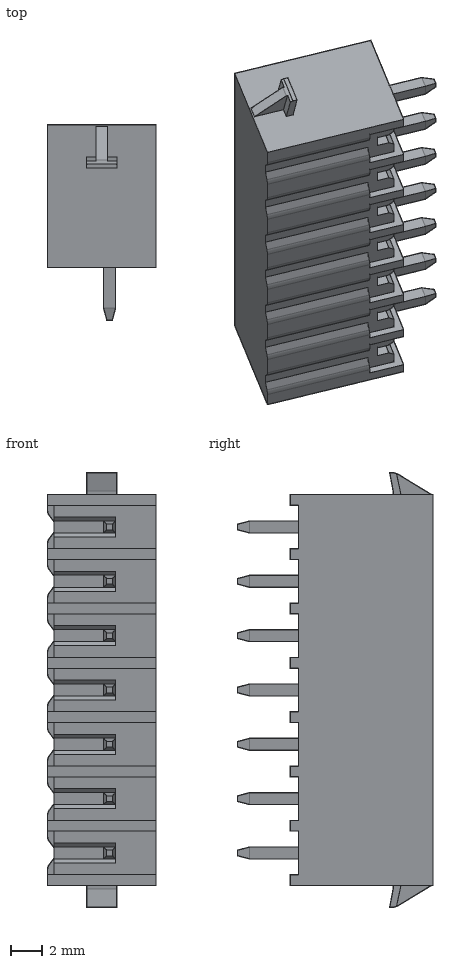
import cadquery as cq
import math


POLE_COUNT = 7
PITCH = 3.5
WALL = 0.7
WIDTH = 7.0
WALL_DEPTH = 9.2
CORE_DEPTH = 8.68
HEIGHT = POLE_COUNT * PITCH + WALL
POLE_OPENING = PITCH - WALL
POLE_LEVELS = [(i - (POLE_COUNT - 1) / 2) * PITCH for i in range(POLE_COUNT)]

GROOVE_DEPTH = 0.42
GROOVE_MOUTH_HALF = 0.9
GROOVE_FLOOR_HALF = 0.35
GROOVE_ROUND = 0.55
NOTCH_START = 6.92

PIN_SIZE = 0.78
PIN_X = 4.0
PIN_END = 12.6
TIP_LENGTH = 0.78
TIP_SIZE = 0.35

SLOT_DEPTH = 1.1
FLARE_DEPTH = 0.35
FLARE_HEIGHT = 0.25
SLOT_FLOOR_DEPTH = CORE_DEPTH - SLOT_DEPTH
SLOT_END_X = PIN_X + PIN_SIZE / 2

LATCH_WIDTH = 1.95
RIB_WIDTH = 0.75
LATCH_HEIGHT = 1.4
LATCH_FOOT = 0.22
CREST_START = 2.52
PLATE_OUTLINE = [
    (2.07, 0),
    (2.35, 1.35),
    (CREST_START, LATCH_HEIGHT),
    (2.8, LATCH_HEIGHT),
    (2.58, LATCH_FOOT),
    (2.58, 0),
]
RIB_OUTLINE = [(0.1, 0), (2.27, 1.32), (CREST_START, LATCH_HEIGHT), (CREST_START, 0)]


def block(x_start, x_end, depth_start, depth_end, height, level=0.0):
    """Box between two X positions and two depths, centred at a level in Z."""
    size = (x_end - x_start, depth_end - depth_start, height)
    corner = (x_start, -depth_end, level - height / 2)
    return cq.Workplane("XY").box(*size, centered=False).translate(corner)


def groove_cutter():
    """Trapezoidal groove whose mouth edges are rounded into the side face."""
    slope = math.atan2(GROOVE_DEPTH, GROOVE_MOUTH_HALF - GROOVE_FLOOR_HALF)
    tangent_length = GROOVE_ROUND * math.tan(slope / 2)
    arc_top = GROOVE_MOUTH_HALF + tangent_length

    def arc_point(angle):
        return (GROOVE_ROUND * (1 - math.cos(angle)), arc_top - GROOVE_ROUND * math.sin(angle))

    mid_x, mid_z = arc_point(slope / 2)
    end_x, end_z = arc_point(slope)
    return (
        cq.Workplane("XZ")
        .moveTo(0, arc_top)
        .threePointArc((mid_x, mid_z), (end_x, end_z))
        .lineTo(GROOVE_DEPTH, GROOVE_FLOOR_HALF)
        .lineTo(GROOVE_DEPTH, -GROOVE_FLOOR_HALF)
        .lineTo(end_x, -end_z)
        .threePointArc((mid_x, -mid_z), (0, -arc_top))
        .close()
        .extrude(CORE_DEPTH)
    )


def slot_cutter():
    """Slot with a flared entry, open to the grooved side and ending at the pin."""
    half = PIN_SIZE / 2
    flared = half + FLARE_HEIGHT
    flare_start = CORE_DEPTH - FLARE_DEPTH
    outline = [
        (-SLOT_FLOOR_DEPTH, half),
        (-flare_start, half),
        (-CORE_DEPTH, flared),
        (-CORE_DEPTH, -flared),
        (-flare_start, -half),
        (-SLOT_FLOOR_DEPTH, -half),
    ]
    return cq.Workplane("YZ").polyline(outline).close().extrude(SLOT_END_X)


def make_pin():
    """Square pin standing on the slot floor, with a tapered tip."""
    shank_length = PIN_END - TIP_LENGTH - SLOT_FLOOR_DEPTH
    shank = (
        cq.Workplane("XZ", origin=(PIN_X, -SLOT_FLOOR_DEPTH, 0))
        .rect(PIN_SIZE, PIN_SIZE)
        .extrude(shank_length)
    )
    return (
        shank.faces("<Y").workplane()
        .rect(PIN_SIZE, PIN_SIZE)
        .workplane(offset=TIP_LENGTH)
        .rect(TIP_SIZE, TIP_SIZE)
        .loft(combine=True)
    )


def latch_piece(outline, width):
    """Extrude a latch outline symmetrically about the middle of the top wall."""
    points = [(-depth, HEIGHT / 2 + rise) for depth, rise in outline]
    return (
        cq.Workplane("YZ", origin=(WIDTH / 2, 0, 0))
        .polyline(points)
        .close()
        .extrude(width / 2, both=True)
    )


housing = block(0, WIDTH, 0, WALL_DEPTH, HEIGHT)
groove = groove_cutter()
slot = slot_cutter()
for level in POLE_LEVELS:
    lift = (0, 0, level)
    housing = (
        housing
        .cut(block(0, WIDTH, CORE_DEPTH, WALL_DEPTH, POLE_OPENING, level))
        .cut(block(0, GROOVE_DEPTH, NOTCH_START, CORE_DEPTH, POLE_OPENING, level))
        .cut(groove.translate(lift))
        .cut(slot.translate(lift))
    )

pin = make_pin()
for level in POLE_LEVELS:
    housing = housing.union(pin.translate((0, 0, level)))

latch = latch_piece(PLATE_OUTLINE, LATCH_WIDTH).union(latch_piece(RIB_OUTLINE, RIB_WIDTH))
result = housing.union(latch).union(latch.mirror("XY"))